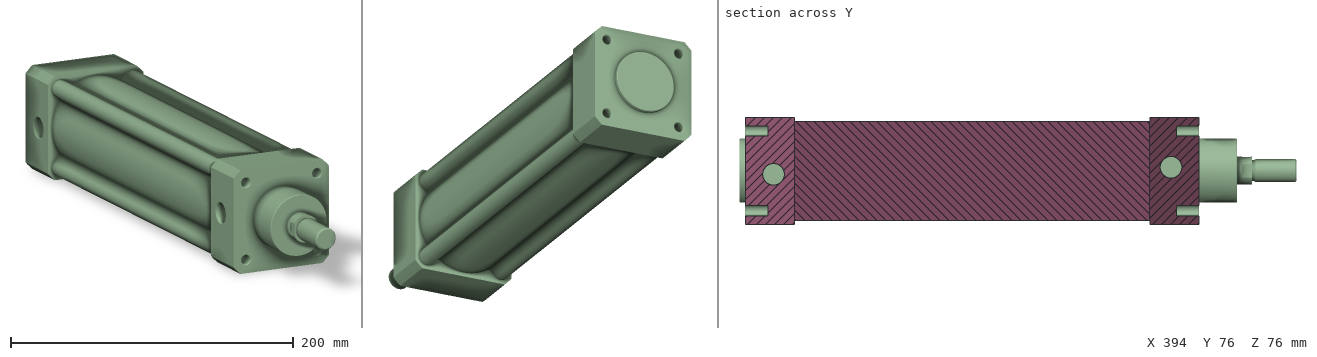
import cadquery as cq
import math


cap_size = 76.0
cap_length = 35.0
cap_corner_diameter = 100.0
cap_spacing = 321.0
pilot_diameter = 45.0
pilot_chamfer = 0.4
rear_pilot_length = 4.0
front_pilot_length = 27.0

mount_pitch = 56.5
mount_hole_diameter = 6.8
mount_hole_depth = 16.0
mount_chamfer = 0.6
port_diameter = 15.0
port_depth = 15.0
port_chamfer = 0.5
port_inset = 20.0
port_offset = 2.5

barrel_radius = 35.0
lobe_radius = 6.2
lobe_center = 29.0
root_fillet = 2.0

rod_diameter = 20.0
rod_end_distance = 69.0
waist_radius = 9.75
waist_length = 8.0
waist_gap = 2.4
waist_ramp = 0.9
flat_width = 17.0
relief_radius = 7.5
relief_length = 2.4
relief_ramp = 0.6
thread_diameter = 16.0
thread_chamfer = 1.0

rear_face = rear_pilot_length
front_face = rear_face + cap_spacing
barrel_start = rear_face + cap_length
barrel_end = front_face - cap_length
waist_start = front_face + front_pilot_length + waist_gap
shoulder = waist_start + waist_length
thread_start = shoulder + relief_length
rod_end = front_face + rod_end_distance


def bar(start, end, diameter):
    """Round bar on the cylinder axis."""
    return cq.Workplane("YZ", origin=(start, 0, 0)).circle(diameter / 2).extrude(end - start)


def cut_hole(body, mouth, axis, diameter, depth, chamfer):
    """Blind hole with a chamfered mouth; axis points into the body."""
    radius = diameter / 2
    hole = cq.Solid.makeCylinder(radius, depth, mouth, axis)
    mouth_cone = cq.Solid.makeCone(radius + chamfer, radius, chamfer, mouth, axis)
    return body.cut(hole).cut(mouth_cone)


def make_cap(outer_face, inward, pilot_length, port_z):
    """Cap with a pilot, four mounting holes and a port; inward is the X direction to the barrel."""
    inner_face = outer_face + inward * cap_length
    start = min(outer_face, inner_face)
    block = cq.Workplane("YZ", origin=(start, 0, 0)).rect(cap_size, cap_size).extrude(cap_length)
    cap = block.intersect(bar(start, start + cap_length, cap_corner_diameter))

    pilot_end = outer_face - inward * pilot_length
    pilot = bar(min(outer_face, pilot_end), max(outer_face, pilot_end), pilot_diameter)
    pilot = pilot.faces("<X" if inward > 0 else ">X").chamfer(pilot_chamfer)
    cap = cap.union(pilot)

    half_pitch = mount_pitch / 2
    for y in (-half_pitch, half_pitch):
        for z in (-half_pitch, half_pitch):
            mouth = cq.Vector(outer_face, y, z)
            axis = cq.Vector(inward, 0, 0)
            cap = cut_hole(cap, mouth, axis, mount_hole_diameter, mount_hole_depth, mount_chamfer)

    port_mouth = cq.Vector(outer_face + inward * port_inset, -cap_size / 2, port_z)
    return cut_hole(cap, port_mouth, cq.Vector(0, 1, 0), port_diameter, port_depth, port_chamfer)


def make_barrel():
    """Round barrel with a round lobe at each corner, carried on a tangent diagonal web."""
    length = barrel_end - barrel_start
    plane = cq.Workplane("YZ", origin=(barrel_start, 0, 0))
    barrel = bar(barrel_start, barrel_end, 2 * barrel_radius)
    corners = plane.rect(2 * lobe_center, 2 * lobe_center, forConstruction=True).vertices()
    barrel = barrel.union(corners.circle(lobe_radius).extrude(length))
    web = plane.rect(2 * lobe_center * math.sqrt(2), 2 * lobe_radius).extrude(length)
    for angle in (45, 135):
        barrel = barrel.union(web.rotate((0, 0, 0), (1, 0, 0), angle))

    roots = []
    for edge in barrel.edges("|X").vals():
        center = edge.Center()
        if math.isclose(math.hypot(center.y, center.z), barrel_radius, abs_tol=0.01):
            roots.append(edge)
    return barrel.newObject(roots).fillet(root_fillet)


def make_rod():
    """Rod from the barrel end through the front cap to the tip of its threaded end."""
    rod_radius = rod_diameter / 2
    thread_radius = thread_diameter / 2
    profile = [
        (barrel_end, 0),
        (barrel_end, rod_radius),
        (waist_start, rod_radius),
        (waist_start + waist_ramp, waist_radius),
        (shoulder - waist_ramp, waist_radius),
        (shoulder, rod_radius),
        (shoulder, relief_radius),
        (thread_start - relief_ramp, relief_radius),
        (thread_start, thread_radius),
        (rod_end - thread_chamfer, thread_radius),
        (rod_end, thread_radius - thread_chamfer),
        (rod_end, 0),
    ]
    rod = cq.Workplane("XY").polyline(profile).close().revolve(360, (0, 0, 0), (1, 0, 0))

    flat_start = waist_start + waist_ramp
    cutter = cq.Workplane("XY").box(shoulder - flat_start, rod_radius, rod_diameter)
    flat_center = (flat_start + shoulder) / 2
    for side in (-1, 1):
        y = side * (flat_width + rod_radius) / 2
        rod = rod.cut(cutter.translate((flat_center, y, 0)))
    return rod


rear_cap = make_cap(rear_face, 1, rear_pilot_length, -port_offset)
front_cap = make_cap(front_face, -1, front_pilot_length, port_offset)
front_cap = front_cap.cut(bar(barrel_end, front_face + front_pilot_length, rod_diameter))
barrel = make_barrel()
rod = make_rod()

result = cq.Compound.makeCompound([rear_cap.val(), barrel.val(), front_cap.val(), rod.val()])